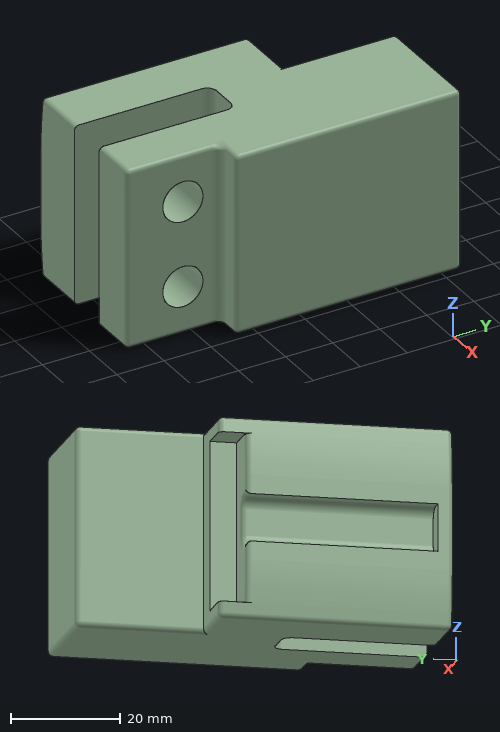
import cadquery as cq
import math

width = 37.5
length = 68.0
height = 38.0

arm_width = 24.0
arm_length = 24.0
notch_width = 5.5
notch_length = 20.0
notch_radius = 2.0
edge_radius = 1.0

inner_leg_width = 13.0
slot_width = 9.0
slot_depth = 29.05
slot_corner_radius = 2.0

crown_flat_half = 8.0
crown_radius = 68.0
flange_thickness = 3.0

undercut_length = 5.0
undercut_depth = 8.15

groove_width = 9.0
groove_depth = 4.0
groove_radius = 2.0
groove_end_margin = 2.9

hole_diameter = 8.5
hole_spacing = 18.0
hole_from_front = 12.0

clearance = 3.4
tolerance = 0.1

left = -width / 2
right = width / 2
front = -length / 2
back = length / 2
half_height = height / 2
crown_end = half_height - flange_thickness
arm_left = right - arm_width
step_y = back - arm_length
undercut_y = step_y - undercut_length
notch_x = right - notch_width
notch_y = front + notch_length
slot_left = left + inner_leg_width
slot_right = slot_left + slot_width


def make_box(x_min, x_max, y_min, y_max, half_z):
    """Box between the given X and Y limits, centred on Z = 0."""
    return (
        cq.Workplane("XY", origin=(0, 0, -half_z))
        .moveTo(x_min, y_min)
        .lineTo(x_max, y_min)
        .lineTo(x_max, y_max)
        .lineTo(x_min, y_max)
        .close()
        .extrude(2 * half_z)
    )


def make_block():
    """Block whose -X face has a flat middle, tangent arcs and straight tangent flanges."""
    crown_angle = math.asin((crown_end - crown_flat_half) / crown_radius)
    crown_end_x = left + crown_radius * (1 - math.cos(crown_angle))
    arc_mid_x = left + crown_radius * (1 - math.cos(crown_angle / 2))
    arc_mid_z = crown_flat_half + crown_radius * math.sin(crown_angle / 2)
    flange_edge_x = crown_end_x + flange_thickness * math.tan(crown_angle)
    return (
        cq.Workplane("XZ", origin=(0, step_y, 0))
        .moveTo(notch_x, -half_height)
        .lineTo(flange_edge_x, -half_height)
        .lineTo(crown_end_x, -crown_end)
        .threePointArc((arc_mid_x, -arc_mid_z), (left, -crown_flat_half))
        .lineTo(left, crown_flat_half)
        .threePointArc((arc_mid_x, arc_mid_z), (crown_end_x, crown_end))
        .lineTo(flange_edge_x, half_height)
        .lineTo(notch_x, half_height)
        .close()
        .extrude(step_y - front)
    )


def make_body():
    """Block and arm with every outer edge rounded; the upright inside corners stay sharp."""
    arm = make_box(arm_left, right, notch_y, back, half_height)
    body = make_block().union(arm)
    inside_corners = [(arm_left, step_y), (notch_x, notch_y)]
    block_mid_y = (front + step_y) / 2

    def is_rounded(edge):
        middle = edge.Center()
        for corner_x, corner_y in inside_corners:
            if math.hypot(middle.x - corner_x, middle.y - corner_y) < tolerance:
                return False
        below_flange_edge = abs(middle.z) < half_height - tolerance
        runs_along_block = middle.x < arm_left and abs(middle.y - block_mid_y) < tolerance
        return not (below_flange_edge and runs_along_block)

    rounded_edges = [edge for edge in body.edges().vals() if is_rounded(edge)]
    return body.newObject(rounded_edges).fillet(edge_radius)


def round_notch_corner(body):
    """Blend the upright inside corner of the notch."""
    corner = cq.selectors.NearestToPointSelector((notch_x, notch_y, 0))
    return body.edges("|Z").edges(corner).fillet(notch_radius)


def cut_undercut(body):
    """Clear the space behind the grip face, leaving the top and bottom flanges."""
    undercut = make_box(left - clearance, left + undercut_depth, undercut_y, step_y + clearance, crown_end)
    return body.cut(undercut)


def cut_groove(body):
    """Groove with rounded bottom corners, closed at the front and open into the undercut."""
    groove_front = front + groove_end_margin
    groove_floor = left + groove_depth
    groove = make_box(left - clearance, groove_floor, groove_front, undercut_y + clearance, groove_width / 2)
    return body.cut(groove.edges("|Y and >X").fillet(groove_radius))


def round_undercut_edge(body):
    """Round the edge where the undercut wall meets the grip face, following the groove."""

    def is_wall_edge(edge):
        middle = edge.Center()
        bounds = edge.BoundingBox()
        on_wall = abs(bounds.ymin - undercut_y) < tolerance and abs(bounds.ymax - undercut_y) < tolerance
        between_flanges = abs(middle.z) < crown_end - tolerance
        at_grip_face = middle.x < left + groove_depth + tolerance
        return on_wall and between_flanges and at_grip_face

    wall_edges = [edge for edge in body.edges().vals() if is_wall_edge(edge)]
    return body.newObject(wall_edges).fillet(edge_radius)


def cut_slot(body):
    """Slot from the front, through the full height, with rounded inner corners."""
    slot = make_box(slot_left, slot_right, front - clearance, front + slot_depth, half_height + clearance)
    return body.cut(slot.edges("|Z and >Y").fillet(slot_corner_radius))


def cut_holes(body):
    """Pair of round holes from the slot through the outer leg."""
    holes = (
        cq.Workplane("YZ", origin=(slot_right - clearance, front + hole_from_front, 0))
        .pushPoints([(0, -hole_spacing / 2), (0, hole_spacing / 2)])
        .circle(hole_diameter / 2)
        .extrude(right - slot_right + clearance)
    )
    return body.cut(holes)


body = make_body()
body = round_notch_corner(body)
body = cut_undercut(body)
body = cut_groove(body)
body = round_undercut_edge(body)
body = cut_slot(body)
result = cut_holes(body)